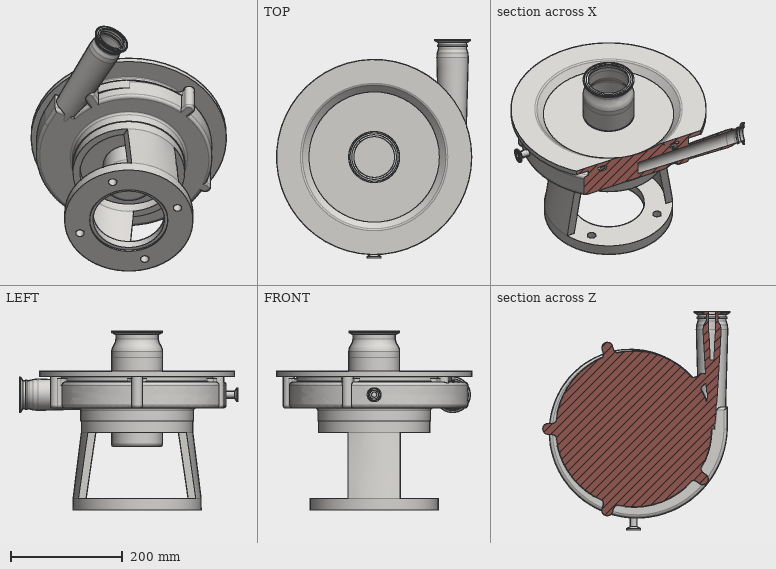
import cadquery as cq
import math


BASE_TOP = 21.0
HUB_BOTTOM = 113.5
LEG_TOP = 139.0
ADAPTER_TOP = 160.0
CASING_BOTTOM = 182.7
CASING_TOP = 229.5
WEB_TOP = 235.5
DISC_BOTTOM = 239.0
DISC_TOP = 249.0
INLET_TOP = 320.5
PORT_HEIGHT = 206.7

BASE_RADIUS = 115.0
BASE_BORE_RADIUS = 64.0
REGISTER_RADIUS = 70.0
REGISTER_DEPTH = 3.8
BOLT_CIRCLE_RADIUS = 92.0
BOLT_HOLE_DIAMETER = 15.0
BOLT_COUNT = 4
BOLT_FIRST_ANGLE = 45.0

ADAPTER_RADIUS = 100.0
ADAPTER_WALL = 12.5
LEG_WIDTH = 94.0

BACK_PLATE_RADIUS = 101.2
BACK_PLATE_FILLET = 4.0
HUB_RADIUS = 45.9
HUB_FILLET = 5.0

VOLUTE_BASE_RADIUS = 134.6
VOLUTE_END_RADIUS = 168.0
TONGUE_ANGLE = 17.0
CASING_FILLET = 6.0

COVER_RADIUS = 138.5
COVER_FILLET = 2.0
COVER_TOP_FILLET = 1.5

POST_COUNT = 5
POST_FIRST_ANGLE = 180.0
POST_CIRCLE_RADIUS = 153.0
POST_RADIUS = 10.0
POST_FILLET = 4.0
FLARE_RADIUS = 10.0
FLARE_EMBED = 1.5
FLARE_FOOT = COVER_RADIUS - FLARE_EMBED

DISC_RADIUS = 175.0
RECESS_MOUTH_RADIUS = 130.0
RECESS_FLOOR_RADIUS = 116.8
RECESS_FLOOR = 236.0
RECESS_EDGE_FILLET = 5.0

FERRULE_RIM = 2.4
FERRULE_LENGTH = 6.2
TUBE_WALL = 1.65

INLET_FERRULE_RADIUS = 45.5
INLET_NECK_RADIUS = 38.1
INLET_TUBE_RADIUS = 45.8
INLET_GROOVE_RADIUS = 41.6
INLET_GROOVE_SIZE = 1.6
INLET_SHOULDER_TOP = 306.8
INLET_SHOULDER_BOTTOM = 284.4
INLET_BORE_SHOULDER_TOP = 290.5
INLET_BORE_SHOULDER_BOTTOM = 273.5

DISCHARGE_X = 140.5
DISCHARGE_END_Y = 211.0
DISCHARGE_FERRULE_RADIUS = 32.0
DISCHARGE_NECK_RADIUS = 25.4
DISCHARGE_GROOVE_RADIUS = 28.2
DISCHARGE_GROOVE_SIZE = 1.6
DISCHARGE_BEAD_RADIUS = 26.8
DISCHARGE_BEAD_START = 10.7
DISCHARGE_BEAD_END = 13.4
DISCHARGE_NECK_END = 17.2
DISCHARGE_COLLAR_START = 24.6
DISCHARGE_COLLAR_RADIUS = 27.6
DISCHARGE_PIPE_START = 33.1
DISCHARGE_PIPE_RADIUS = 28.4
DISCHARGE_THROAT_RADIUS = 23.4

DRAIN_END_Y = -181.0
DRAIN_FERRULE_RADIUS = 12.5
DRAIN_NECK_RADIUS = 6.35
DRAIN_GROOVE_RADIUS = 9.2
DRAIN_GROOVE_SIZE = 1.2
DRAIN_ROOT_Y = -150.0


def cylinder(radius, bottom, top):
    return cq.Workplane("XY").workplane(offset=bottom).circle(radius).extrude(top - bottom)


def revolve_about_z(points):
    return cq.Workplane("XZ").polyline(points).close().revolve(360, (0, 0), (0, 1))


def port_along_y(points, x, end_y, direction):
    """Revolve (radius, distance from the port face) points; the body runs inward from end_y."""
    body = revolve_about_z(points).rotate((0, 0, 0), (1, 0, 0), 90 * direction)
    return body.translate((x, end_y, PORT_HEIGHT))


def groove(radius, size):
    """Gasket groove around the axis, centred on the ferrule face at Z = 0."""
    return cq.Workplane("XZ").center(radius, 0).circle(size).revolve(360, (-radius, 0), (-radius, 1))


def ferrule_points(rim_radius, neck_radius):
    return [
        (0, 0),
        (rim_radius, 0),
        (rim_radius, FERRULE_RIM),
        (neck_radius, FERRULE_LENGTH),
    ]


def make_base():
    """Base ring with bolt holes and a shallow register recess underneath."""
    base = cylinder(BASE_RADIUS, 0, BASE_TOP).cut(cylinder(BASE_BORE_RADIUS, 0, BASE_TOP))
    holes = (
        cq.Workplane("XY")
        .polarArray(BOLT_CIRCLE_RADIUS, BOLT_FIRST_ANGLE, 360, BOLT_COUNT)
        .circle(BOLT_HOLE_DIAMETER / 2)
        .extrude(BASE_TOP)
    )
    return base.cut(holes).cut(cylinder(REGISTER_RADIUS, 0, REGISTER_DEPTH))


def make_adapter():
    """Ring carried by two legs, which are the parts of a conical shell within a slab."""
    ring = cylinder(ADAPTER_RADIUS, LEG_TOP, ADAPTER_TOP)
    ring = ring.cut(cylinder(ADAPTER_RADIUS - ADAPTER_WALL, LEG_TOP, ADAPTER_TOP))
    shell = revolve_about_z([
        (BASE_RADIUS - ADAPTER_WALL, BASE_TOP),
        (BASE_RADIUS, BASE_TOP),
        (ADAPTER_RADIUS, LEG_TOP),
        (ADAPTER_RADIUS - ADAPTER_WALL, LEG_TOP),
    ])
    slab = cq.Workplane("XY").box(LEG_WIDTH, 2 * BASE_RADIUS, LEG_TOP, centered=(True, True, False))
    return ring.union(shell.intersect(slab))


def make_back_plate():
    flare_radius = BACK_PLATE_RADIUS + BACK_PLATE_FILLET
    flare_bottom = CASING_BOTTOM - BACK_PLATE_FILLET
    plate = (
        cq.Workplane("XZ")
        .moveTo(0, ADAPTER_TOP)
        .lineTo(BACK_PLATE_RADIUS, ADAPTER_TOP)
        .lineTo(BACK_PLATE_RADIUS, flare_bottom)
        .radiusArc((flare_radius, CASING_BOTTOM), BACK_PLATE_FILLET)
        .lineTo(0, CASING_BOTTOM)
        .close()
        .revolve(360, (0, 0), (0, 1))
    )
    hub = cylinder(HUB_RADIUS, HUB_BOTTOM, ADAPTER_TOP).faces("<Z").edges().fillet(HUB_FILLET)
    return plate.union(hub)


def volute_point(angle):
    growth = (VOLUTE_END_RADIUS - VOLUTE_BASE_RADIUS) * angle / 360
    radius = VOLUTE_BASE_RADIUS + growth
    return radius * math.cos(math.radians(angle)), radius * math.sin(math.radians(angle))


def make_casing():
    """Spiral plate that ends in a short straight outlet beside the tongue."""
    outlet_y = volute_point(TONGUE_ANGLE)[1]

    def spiral(t):
        x, y = volute_point(TONGUE_ANGLE + t * (360 - TONGUE_ANGLE))
        return x, y, 0

    casing = (
        cq.Workplane("XY")
        .workplane(offset=CASING_BOTTOM)
        .parametricCurve(spiral, makeWire=False)
        .lineTo(VOLUTE_END_RADIUS, outlet_y)
        .lineTo(*volute_point(TONGUE_ANGLE))
        .wire()
        .extrude(CASING_TOP - CASING_BOTTOM)
    )
    return casing.faces("<Z or >Z").edges().fillet(CASING_FILLET)


def make_cover():
    foot_radius = COVER_RADIUS + COVER_FILLET
    return (
        cq.Workplane("XZ")
        .moveTo(0, PORT_HEIGHT)
        .lineTo(foot_radius, PORT_HEIGHT)
        .lineTo(foot_radius, CASING_TOP)
        .radiusArc((COVER_RADIUS, CASING_TOP + COVER_FILLET), COVER_FILLET)
        .lineTo(COVER_RADIUS, DISC_BOTTOM - COVER_TOP_FILLET)
        .radiusArc((COVER_RADIUS + COVER_TOP_FILLET, DISC_BOTTOM), COVER_TOP_FILLET)
        .lineTo(0, DISC_BOTTOM)
        .close()
        .revolve(360, (0, 0), (0, 1))
    )


def make_post(angle):
    """Round post under the disc, with a web that flares where it runs into the cover."""
    web = cq.Workplane("XY").box(
        POST_CIRCLE_RADIUS, 2 * POST_RADIUS, WEB_TOP - CASING_BOTTOM, centered=(False, True, False)
    )
    lower = cylinder(POST_RADIUS, 0, WEB_TOP - CASING_BOTTOM).translate((POST_CIRCLE_RADIUS, 0, 0))
    lower = lower.union(web).faces("<Z").edges().fillet(POST_FILLET).translate((0, 0, CASING_BOTTOM))
    upper = cylinder(POST_RADIUS, PORT_HEIGHT, DISC_BOTTOM).translate((POST_CIRCLE_RADIUS, 0, 0))
    flare_start = FLARE_FOOT + FLARE_RADIUS
    flare_half_width = POST_RADIUS + FLARE_RADIUS
    flare_bottom = CASING_TOP - CASING_FILLET
    flare = (
        cq.Workplane("XY")
        .workplane(offset=flare_bottom)
        .moveTo(0, -flare_half_width)
        .lineTo(FLARE_FOOT, -flare_half_width)
        .radiusArc((flare_start, -POST_RADIUS), FLARE_RADIUS)
        .lineTo(flare_start, POST_RADIUS)
        .radiusArc((FLARE_FOOT, flare_half_width), FLARE_RADIUS)
        .lineTo(0, flare_half_width)
        .close()
        .extrude(WEB_TOP - flare_bottom)
    )
    return lower.union(upper).union(flare).rotate((0, 0, 0), (0, 0, 1), angle)


def make_disc():
    """Mounting disc on its cover, dished from above down into the cover."""
    disc = cylinder(DISC_RADIUS, DISC_BOTTOM, DISC_TOP).union(make_cover())
    recess = revolve_about_z([
        (0, RECESS_FLOOR),
        (RECESS_FLOOR_RADIUS, RECESS_FLOOR),
        (RECESS_MOUTH_RADIUS, DISC_TOP),
        (0, DISC_TOP),
    ])
    disc = disc.cut(recess)
    mouth = cq.selectors.RadiusNthSelector(-2)
    return disc.faces(">Z").edges(mouth).fillet(RECESS_EDGE_FILLET)


def shouldered_tube(neck_radius, tube_radius, shoulder_top, shoulder_bottom):
    """Solid round from the recess floor to the inlet face, necked in by an S-shaped shoulder."""
    down = (0, -1)
    return (
        cq.Workplane("XZ")
        .moveTo(0, INLET_TOP)
        .lineTo(neck_radius, INLET_TOP)
        .lineTo(neck_radius, shoulder_top)
        .spline([(tube_radius, shoulder_bottom)], tangents=[down, down], includeCurrent=True)
        .lineTo(tube_radius, RECESS_FLOOR)
        .lineTo(0, RECESS_FLOOR)
        .close()
        .revolve(360, (0, 0), (0, 1))
    )


def make_inlet():
    tube = shouldered_tube(
        INLET_NECK_RADIUS, INLET_TUBE_RADIUS, INLET_SHOULDER_TOP, INLET_SHOULDER_BOTTOM
    )
    bore = shouldered_tube(
        INLET_NECK_RADIUS - TUBE_WALL,
        INLET_TUBE_RADIUS - TUBE_WALL,
        INLET_BORE_SHOULDER_TOP,
        INLET_BORE_SHOULDER_BOTTOM,
    )
    points = ferrule_points(INLET_FERRULE_RADIUS, INLET_NECK_RADIUS) + [(0, FERRULE_LENGTH)]
    ferrule = revolve_about_z([(radius, INLET_TOP - depth) for radius, depth in points])
    ring = groove(INLET_GROOVE_RADIUS, INLET_GROOVE_SIZE).translate((0, 0, INLET_TOP))
    return tube.union(ferrule).cut(bore).cut(ring)


def make_discharge():
    """Return the discharge pipe and the bore and groove to cut from it."""
    length = DISCHARGE_END_Y
    bore_radius = DISCHARGE_NECK_RADIUS - TUBE_WALL
    outside = ferrule_points(DISCHARGE_FERRULE_RADIUS, DISCHARGE_NECK_RADIUS) + [
        (DISCHARGE_NECK_RADIUS, DISCHARGE_BEAD_START),
        (DISCHARGE_BEAD_RADIUS, DISCHARGE_BEAD_START),
        (DISCHARGE_BEAD_RADIUS, DISCHARGE_BEAD_END),
        (DISCHARGE_NECK_RADIUS, DISCHARGE_BEAD_END),
        (DISCHARGE_NECK_RADIUS, DISCHARGE_NECK_END),
        (DISCHARGE_COLLAR_RADIUS, DISCHARGE_COLLAR_START),
        (DISCHARGE_PIPE_RADIUS, DISCHARGE_PIPE_START),
        (DISCHARGE_THROAT_RADIUS, length),
        (0, length),
    ]
    inside = [
        (0, 0),
        (bore_radius, 0),
        (bore_radius, DISCHARGE_PIPE_START),
        (DISCHARGE_THROAT_RADIUS - TUBE_WALL, length),
        (0, length),
    ]
    ring = groove(DISCHARGE_GROOVE_RADIUS, DISCHARGE_GROOVE_SIZE)
    ring = ring.rotate((0, 0, 0), (1, 0, 0), 90).translate((DISCHARGE_X, DISCHARGE_END_Y, PORT_HEIGHT))
    pipe = port_along_y(outside, DISCHARGE_X, DISCHARGE_END_Y, 1)
    bore = port_along_y(inside, DISCHARGE_X, DISCHARGE_END_Y, 1)
    return pipe, bore.union(ring)


def make_drain():
    """Return the drain nozzle and the bore and groove to cut from it."""
    length = DRAIN_ROOT_Y - DRAIN_END_Y
    bore_radius = DRAIN_NECK_RADIUS - TUBE_WALL
    outside = ferrule_points(DRAIN_FERRULE_RADIUS, DRAIN_NECK_RADIUS) + [
        (DRAIN_NECK_RADIUS, length),
        (0, length),
    ]
    inside = [(0, 0), (bore_radius, 0), (bore_radius, length), (0, length)]
    ring = groove(DRAIN_GROOVE_RADIUS, DRAIN_GROOVE_SIZE)
    ring = ring.rotate((0, 0, 0), (1, 0, 0), -90).translate((0, DRAIN_END_Y, PORT_HEIGHT))
    nozzle = port_along_y(outside, 0, DRAIN_END_Y, -1)
    bore = port_along_y(inside, 0, DRAIN_END_Y, -1)
    return nozzle, bore.union(ring)


discharge_pipe, discharge_bore = make_discharge()
drain_nozzle, drain_bore = make_drain()

result = make_base().union(make_adapter()).union(make_back_plate())
result = result.union(make_casing())
for index in range(POST_COUNT):
    result = result.union(make_post(POST_FIRST_ANGLE + index * 360 / POST_COUNT))
result = result.union(make_disc()).union(make_inlet())
result = result.union(discharge_pipe).union(drain_nozzle)
result = result.cut(discharge_bore).cut(drain_bore)